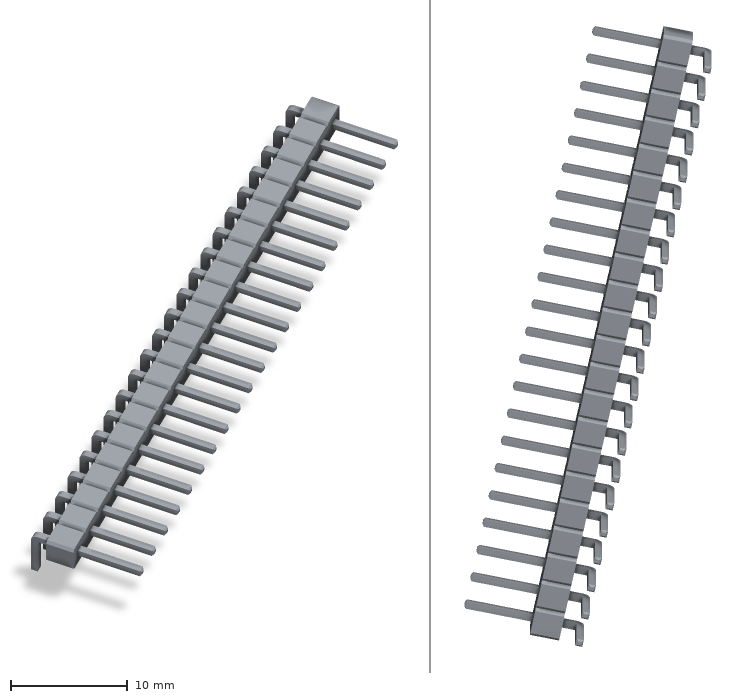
import cadquery as cq

PIN_COUNT = 22
ROW_LENGTH = 55.9
OVERALL_WIDTH = 10.35
OVERALL_HEIGHT = 5.55

PITCH = ROW_LENGTH / PIN_COUNT
BLOCK_SIZE = PITCH
BLOCK_CHAMFER = PITCH / 10

PIN_SIZE = PITCH / 4
PIN_TIP_CHAMFER = PIN_SIZE / 4
BEND_RADIUS = PIN_SIZE
BEND_TO_HOUSING = 1.85

HOUSING_TOP = BLOCK_SIZE / 2
BENT_TIP_Z = HOUSING_TOP - OVERALL_HEIGHT


def housing_block(y):
    """One block, its four long edges chamfered to form V-notches between neighbours."""
    return (
        cq.Workplane("XY")
        .box(BLOCK_SIZE, PITCH, BLOCK_SIZE, centered=(False, True, True))
        .edges("|X")
        .chamfer(BLOCK_CHAMFER)
        .translate((BEND_TO_HOUSING, y, 0))
    )


def bent_pin(y):
    """One L-shaped square pin with a rounded outer bend and chamfered tips."""
    half_size = PIN_SIZE / 2
    pin = (
        cq.Workplane("XZ")
        .moveTo(0, BENT_TIP_Z)
        .lineTo(0, half_size - BEND_RADIUS)
        .radiusArc((BEND_RADIUS, half_size), BEND_RADIUS)
        .lineTo(OVERALL_WIDTH, half_size)
        .lineTo(OVERALL_WIDTH, -half_size)
        .lineTo(PIN_SIZE, -half_size)
        .lineTo(PIN_SIZE, BENT_TIP_Z)
        .close()
        .extrude(half_size, both=True)
    )
    pin = pin.faces("<Z").edges().chamfer(PIN_TIP_CHAMFER)
    pin = pin.faces(">X").edges().chamfer(PIN_TIP_CHAMFER)
    return pin.translate((0, y, 0))


pin_positions = [(i - (PIN_COUNT - 1) / 2) * PITCH for i in range(PIN_COUNT)]
solids = []
for pin_y in pin_positions:
    solids.append(housing_block(pin_y).val())
    solids.append(bent_pin(pin_y).val())

result = cq.Workplane(obj=solids[0].fuse(*solids[1:]).clean())